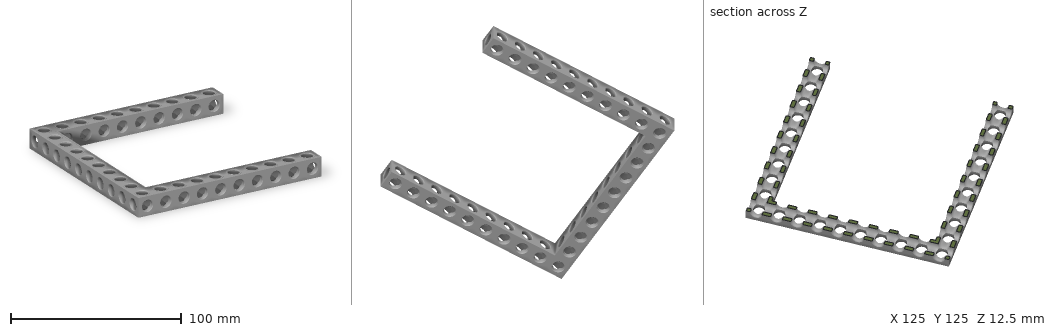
import cadquery as cq

frame_size = 125.0
pitch = 12.5
beam_width = 12.2
rim_width = 1.0
recess_depth = 0.2
hole_diameter = 7.0
hole_chamfer = 0.4
ring_diameter = 9.2

hole_radius = hole_diameter / 2
hole_count = int(frame_size / pitch)
stations = [pitch * (i + 0.5) for i in range(hole_count)]
first = stations[0]
last = stations[-1]
mid_height = pitch / 2
base_centers = [(x, first) for x in stations]
arm_centers = [(x, y) for x in (first, last) for y in stations[1:]]
vertical_centers = base_centers + arm_centers


def u_prism(inset, bottom, height):
    """U-shaped prism open towards +Y, its outline shrunk inwards by inset."""
    low = inset
    high = frame_size - inset
    inner_low = beam_width - inset
    inner_high = frame_size - inner_low
    outline = [
        (low, low),
        (high, low),
        (high, high),
        (inner_high, high),
        (inner_high, inner_low),
        (inner_low, inner_low),
        (inner_low, high),
        (low, high),
    ]
    return cq.Workplane("XY").workplane(offset=bottom).polyline(outline).close().extrude(height)


def chamfered_hole(start, direction, length):
    """Cutters for a through hole: a cylinder and a cone widening each of its mouths."""
    axis = cq.Vector(*direction)
    near_mouth = cq.Vector(*start)
    far_mouth = near_mouth + axis * length
    mouth_radius = hole_radius + hole_chamfer
    return [
        cq.Solid.makeCylinder(hole_radius, length, near_mouth, axis),
        cq.Solid.makeCone(mouth_radius, hole_radius, hole_chamfer, near_mouth, axis),
        cq.Solid.makeCone(mouth_radius, hole_radius, hole_chamfer, far_mouth, axis * -1),
    ]


recess_floor = pitch - recess_depth
rings = (
    cq.Workplane("XY")
    .workplane(offset=recess_floor)
    .pushPoints(vertical_centers)
    .circle(ring_diameter / 2)
    .extrude(recess_depth)
)
recess = u_prism(rim_width, recess_floor, recess_depth).cut(rings)
frame = u_prism(0, 0, pitch).cut(recess)

cutters = []
for x, y in vertical_centers:
    cutters += chamfered_hole((x, y, 0), (0, 0, 1), pitch)

for x in stations[1:-1]:
    cutters += chamfered_hole((x, 0, mid_height), (0, 1, 0), beam_width)

far_arm = frame_size - beam_width
for y in stations[1:]:
    for arm_start in (0, far_arm):
        cutters += chamfered_hole((arm_start, y, mid_height), (1, 0, 0), beam_width)

cutters += chamfered_hole((0, first, mid_height), (1, 0, 0), frame_size)
for x in (first, last):
    cutters += chamfered_hole((x, 0, mid_height), (0, 1, 0), frame_size)

result = cq.Workplane("XY").newObject([frame.val().cut(*cutters).Solids()[0]])